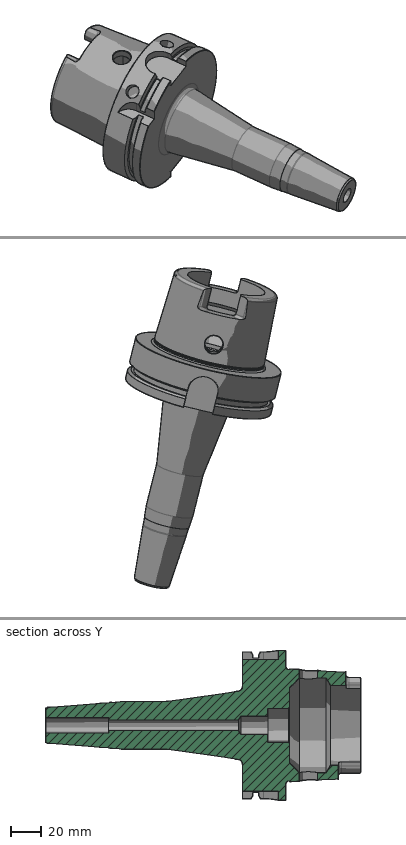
import cadquery as cq
import math


drill_half_angle = math.radians(59)
overcut = 1.0

shank_length = 50.0
gauge_radius = 75.36 / 2
taper_slope = 1 / 20
shank_end_round = 2.0
relief_start = -2.8
relief_end = -0.8
relief_depth = 0.4
relief_side_length = 0.7
root_radius = 39.3

flange_radius = 50.0
flange_width = 29.0
flange_edge_chamfer = 0.3
groove_center = 20.0
groove_top_width = 6.2
groove_floor_width = 3.7
groove_bevel_depth = 2.2
groove_floor_radius = 46.0

neck_fillet = 3.0
neck_root_radius = 22.85
shaft_radius = 16.0
shaft_start = 80.0
nose_end = 160.0
nose_radius = 12.0
nose_angle = math.radians(4.5)
nose_chamfer = 1.2
band_start = 117.0
band_end = 122.0
band_depth = 0.1
band_ramp_length = 0.5
nose_chamfer_depth = 0.6

clamp_bore_radius = 53 / 2
clamp_bore_depth = 20.2
clamp_recess_radius = 63 / 2
clamp_angle = math.radians(60)
recess_end = -9.0
cavity_floor = -2.5
cavity_floor_radius = 25.0
tube_bore_radius = 22.38 / 2
tube_chamfer = 0.8
tube_bore_end = 12.0
feed_radius = 6.0
feed_end = 30.0
stop_screw_radius = 6.92 / 2
tool_bore_radius = 5.0
tool_bore_depth = 42.0

notch_half_width = 10.0
notch_corner_round = 5.0
notch_round_start = 27.0
notch_floor_fillet = 2.0
upper_notch_depth = 10.0
lower_notch_depth = 15.0

access_hole_diameter = 12.0
access_hole_x = -15.0
access_hole_chamfer = 0.35

slot_radius = 10.0
slot_start = 5.0
keyway_floor = 44.0
side_notch_offset = 31.4

rim_hole_diameter = 9.0
rim_hole_depth = 5.0
rim_hole_x = 9.0
rim_hole_angles = (-21.8, 31.8)


def revolve_about_x(points):
    """Solid of revolution from (axial, radial) outline points."""
    return cq.Workplane("XY").polyline(points).close().revolve(360, (0, 0, 0), (1, 0, 0))


def outer_body():
    """Shank, flange, neck and nose, without bores or cut-outs."""
    shank_end = -shank_length
    nose_taper = math.tan(nose_angle)
    taper_start = nose_end - (shaft_radius - nose_radius) / nose_taper

    def taper_radius(x):
        return gauge_radius + (x - relief_start) * taper_slope

    def nose_cone_radius(x):
        return nose_radius + (nose_end - x) * nose_taper

    relief_radius = taper_radius(relief_start) - relief_depth
    round_start = shank_end + shank_end_round
    end_radius = taper_radius(shank_end)
    band_ramp_end = band_end + band_ramp_length
    neck_start = flange_width + neck_fillet
    outline = (
        cq.Workplane("XY")
        .moveTo(shank_end, 0)
        .lineTo(shank_end, end_radius - shank_end_round)
        .radiusArc((round_start, taper_radius(round_start)), shank_end_round)
        .lineTo(relief_start, taper_radius(relief_start))
        .lineTo(relief_start + relief_side_length, relief_radius)
        .lineTo(relief_end - relief_side_length, relief_radius)
        .lineTo(relief_end, gauge_radius)
        .lineTo(0, root_radius)
        .lineTo(0, flange_radius - flange_edge_chamfer)
        .lineTo(flange_edge_chamfer, flange_radius)
        .lineTo(groove_center - groove_top_width / 2, flange_radius)
        .lineTo(groove_center - groove_floor_width / 2, flange_radius - groove_bevel_depth)
        .lineTo(groove_center - groove_floor_width / 2, groove_floor_radius)
        .lineTo(groove_center + groove_floor_width / 2, groove_floor_radius)
        .lineTo(groove_center + groove_floor_width / 2, flange_radius - groove_bevel_depth)
        .lineTo(groove_center + groove_top_width / 2, flange_radius)
        .lineTo(flange_width - flange_edge_chamfer, flange_radius)
        .lineTo(flange_width, flange_radius - flange_edge_chamfer)
        .lineTo(flange_width, neck_root_radius + neck_fillet)
        .radiusArc((neck_start, neck_root_radius), -neck_fillet)
        .lineTo(shaft_start, shaft_radius)
        .lineTo(taper_start, shaft_radius)
        .lineTo(band_start, nose_cone_radius(band_start))
        .lineTo(band_start, nose_cone_radius(band_start) - band_depth)
        .lineTo(band_end, nose_cone_radius(band_end) - band_depth)
        .lineTo(band_ramp_end, nose_cone_radius(band_ramp_end))
        .lineTo(nose_end - nose_chamfer, nose_cone_radius(nose_end - nose_chamfer))
        .lineTo(nose_end, nose_radius - nose_chamfer_depth)
        .lineTo(nose_end, 0)
        .close()
    )
    return outline.revolve(360, (0, 0, 0), (1, 0, 0))


def axial_cavity():
    """Clamping cavity, coolant bores and tool bore as one solid."""
    shank_end = -shank_length
    shoulder = shank_end + clamp_bore_depth
    recess_start = shoulder + (clamp_recess_radius - clamp_bore_radius) / math.tan(clamp_angle)
    feed_tip = feed_end + (feed_radius - stop_screw_radius) / math.tan(drill_half_angle)
    tool_bore_start = nose_end - tool_bore_depth
    return revolve_about_x([
        (shank_end, 0),
        (shank_end, clamp_bore_radius),
        (shoulder, clamp_bore_radius),
        (recess_start, clamp_recess_radius),
        (recess_end, clamp_recess_radius),
        (cavity_floor, cavity_floor_radius),
        (cavity_floor, tube_bore_radius + tube_chamfer),
        (cavity_floor + tube_chamfer, tube_bore_radius),
        (tube_bore_end, tube_bore_radius),
        (tube_bore_end, feed_radius),
        (feed_end, feed_radius),
        (feed_tip, stop_screw_radius),
        (tool_bore_start, stop_screw_radius),
        (tool_bore_start, tool_bore_radius),
        (nose_end, tool_bore_radius),
        (nose_end, 0),
    ])


def drive_notch(depth, side):
    """Notch cutter on the +Z (side = 1) or -Z (side = -1) half of the shank end."""
    flare_half_width = notch_half_width + notch_corner_round
    flare_z = notch_round_start + notch_corner_round
    cutter = (
        cq.Workplane("YZ")
        .workplane(offset=-shank_length - overcut)
        .moveTo(-notch_half_width, 0)
        .lineTo(-notch_half_width, notch_round_start)
        .radiusArc((-flare_half_width, flare_z), -notch_corner_round)
        .lineTo(-flange_radius, flare_z)
        .lineTo(-flange_radius, flange_radius)
        .lineTo(flange_radius, flange_radius)
        .lineTo(flange_radius, flare_z)
        .lineTo(flare_half_width, flare_z)
        .radiusArc((notch_half_width, notch_round_start), -notch_corner_round)
        .lineTo(notch_half_width, 0)
        .close()
        .extrude(depth + overcut)
        .faces(">X")
        .edges()
        .fillet(notch_floor_fillet)
    )
    if side < 0:
        cutter = cutter.rotate((0, 0, 0), (1, 0, 0), 180)
    return cutter


def rim_slot(center_y, floor_z):
    """Round-ended slot along X, open at the back of the flange, cut down to floor_z."""
    arc_center_x = slot_start + slot_radius
    straight_length = flange_width - arc_center_x
    height = flange_radius - floor_z
    slot_floor = cq.Workplane("XY", origin=(arc_center_x, center_y, floor_z))
    round_end = slot_floor.circle(slot_radius).extrude(height)
    straight = slot_floor.box(straight_length, 2 * slot_radius, height, centered=(False, True, False))
    return round_end.union(straight)


def rim_hole(angle):
    """Radial blind hole with a drill-point bottom, turned about X from the +Z direction."""
    top_z = flange_radius + overcut
    floor_z = flange_radius - rim_hole_depth
    radius = rim_hole_diameter / 2
    tip_z = floor_z - radius / math.tan(drill_half_angle)
    hole = (
        cq.Workplane("XZ")
        .polyline([(0, tip_z), (radius, floor_z), (radius, top_z), (0, top_z)])
        .close()
        .revolve(360, (0, 0, 0), (0, 1, 0))
        .translate((rim_hole_x, 0, 0))
    )
    return hole.rotate((0, 0, 0), (1, 0, 0), angle)


def cut_access_hole(body):
    """Cross hole through both shank walls, chamfered at the outer surface."""
    hole = (
        cq.Workplane("XY", origin=(access_hole_x, 0, 0))
        .circle(access_hole_diameter / 2)
        .extrude(flange_radius, both=True)
    )
    body = body.cut(hole)
    for side in (-1, 1):
        outer_rim = cq.selectors.BoxSelector(
            (access_hole_x - access_hole_diameter, -access_hole_diameter, side * clamp_recess_radius),
            (access_hole_x + access_hole_diameter, access_hole_diameter, side * flange_radius),
        )
        body = body.edges(outer_rim).chamfer(access_hole_chamfer)
    return body


body = outer_body().cut(axial_cavity())

body = body.cut(drive_notch(upper_notch_depth, 1))
body = body.cut(drive_notch(lower_notch_depth, -1))

body = cut_access_hole(body)

keyway = rim_slot(0, keyway_floor)
body = body.cut(keyway)
body = body.cut(keyway.rotate((0, 0, 0), (1, 0, 0), 180))
body = body.cut(rim_slot(-side_notch_offset - slot_radius, side_notch_offset))

for hole_angle in rim_hole_angles:
    body = body.cut(rim_hole(hole_angle))

result = body